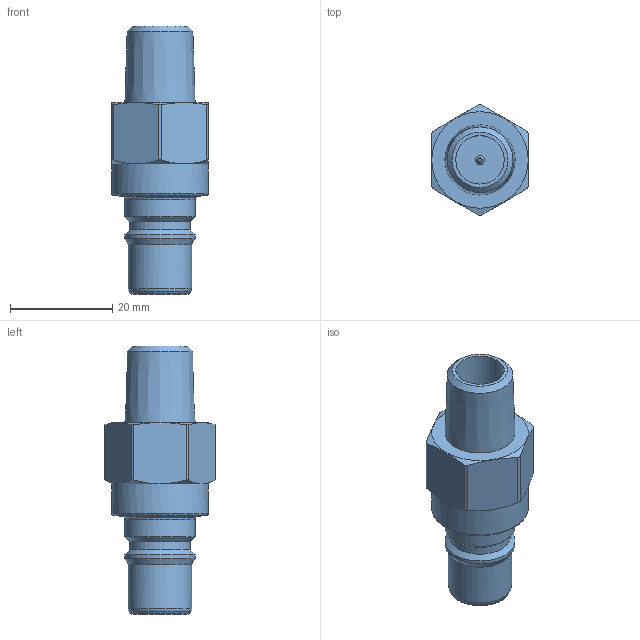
import cadquery as cq
import math

total_height = 52.5
stub_length = 15.0
hex_length = 12.0
hex_top = total_height - stub_length
hex_bottom = hex_top - hex_length

plug_radius = 12.4 / 2
plug_tip_chamfer_height = 0.75
plug_tip_chamfer_angle = math.radians(30)
plug_tip_side_fillet = 1.0
plug_tip_end_fillet = 0.25
plug_top = 9.6

ring_radius = 13.75 / 2
groove_radius = 11.85 / 2
groove_flank = ring_radius - groove_radius
ring_bottom = 10.85
ring_top = 11.6
groove_width = 1.6
groove_bottom = ring_top + groove_flank
groove_top = groove_bottom + groove_width
neck_bottom = groove_top + groove_flank

collar_radius = 19.0 / 2
collar_cone_angle = math.radians(8)
collar_cone_top = 19.4
collar_cone_bottom = collar_cone_top - (collar_radius - ring_radius) * math.tan(collar_cone_angle)
collar_edge_fillet = 0.3
neck_fillet = 0.6

across_flats = 19.0
hex_corner_radius = 21.6 / 2
hex_top_face_radius = 9.45
hex_top_chamfer_angle = math.radians(18)
hex_bottom_chamfer_angle = math.radians(30)

stub_base_radius = 13.75 / 2
stub_taper = 1 / 32
stub_chamfer = 1.0
stub_shoulder = total_height - stub_chamfer
stub_shoulder_radius = stub_base_radius - stub_taper * (stub_shoulder - hex_top)

bore_radius = 9.5 / 2
bore_depth = 24.0
bore_floor = total_height - bore_depth
pin_radius = 1.8 / 2
pin_height = 4.0
pin_chamfer = 0.5


def revolve_profile(points):
    """Revolve a closed outline of (radius, height) points about the Z axis."""
    return cq.Workplane("XZ").polyline(points).close().revolve(360, (0, 0), (0, 1))


def fillet_circle_at(solid, height, radius):
    """Round the circular edge that lies level at the given height."""
    margin = 0.01
    reach = across_flats
    level = cq.selectors.BoxSelector(
        (-reach, -reach, height - margin),
        (reach, reach, height + margin),
        boundingbox=True,
    )
    return solid.edges(level).fillet(radius)


def make_plug():
    tip_chamfer_width = plug_tip_chamfer_height * math.tan(plug_tip_chamfer_angle)
    shaft = revolve_profile([
        (0, 0),
        (plug_radius - tip_chamfer_width, 0),
        (plug_radius, plug_tip_chamfer_height),
        (plug_radius, plug_top),
        (0, plug_top),
    ])
    shaft = fillet_circle_at(shaft, plug_tip_chamfer_height, plug_tip_side_fillet)
    return fillet_circle_at(shaft, 0, plug_tip_end_fillet)


def make_ring_neck_and_collar():
    return revolve_profile([
        (0, plug_top),
        (plug_radius, plug_top),
        (ring_radius, ring_bottom),
        (ring_radius, ring_top),
        (groove_radius, groove_bottom),
        (groove_radius, groove_top),
        (ring_radius, neck_bottom),
        (ring_radius, collar_cone_bottom),
        (collar_radius, collar_cone_top),
        (collar_radius, hex_bottom),
        (0, hex_bottom),
    ])


def make_body_below_hexagon():
    body = make_plug().union(make_ring_neck_and_collar())
    body = fillet_circle_at(body, collar_cone_top, collar_edge_fillet)
    return fillet_circle_at(body, collar_cone_bottom, neck_fillet)


def make_hexagon():
    corner_reach = across_flats / math.sqrt(3)
    prism = (
        cq.Workplane("XY", origin=(0, 0, hex_bottom))
        .polygon(6, 2 * corner_reach)
        .extrude(hex_length)
        .rotate((0, 0, 0), (0, 0, 1), 30)
    )
    top_drop = (hex_corner_radius - hex_top_face_radius) * math.tan(hex_top_chamfer_angle)
    bottom_rise = (hex_corner_radius - collar_radius) * math.tan(hex_bottom_chamfer_angle)
    envelope = revolve_profile([
        (0, hex_bottom),
        (collar_radius, hex_bottom),
        (hex_corner_radius, hex_bottom + bottom_rise),
        (hex_corner_radius, hex_top - top_drop),
        (hex_top_face_radius, hex_top),
        (0, hex_top),
    ])
    return prism.intersect(envelope)


def make_stub():
    return revolve_profile([
        (0, hex_top),
        (stub_base_radius, hex_top),
        (stub_shoulder_radius, stub_shoulder),
        (stub_shoulder_radius - stub_chamfer, total_height),
        (0, total_height),
    ])


def make_bore():
    return cq.Workplane("XY", origin=(0, 0, bore_floor)).circle(bore_radius).extrude(bore_depth)


def make_pin():
    pin = cq.Workplane("XY", origin=(0, 0, bore_floor)).circle(pin_radius).extrude(pin_height)
    return pin.faces(">Z").chamfer(pin_chamfer)


body = make_body_below_hexagon().union(make_hexagon()).union(make_stub())
result = body.cut(make_bore()).union(make_pin())